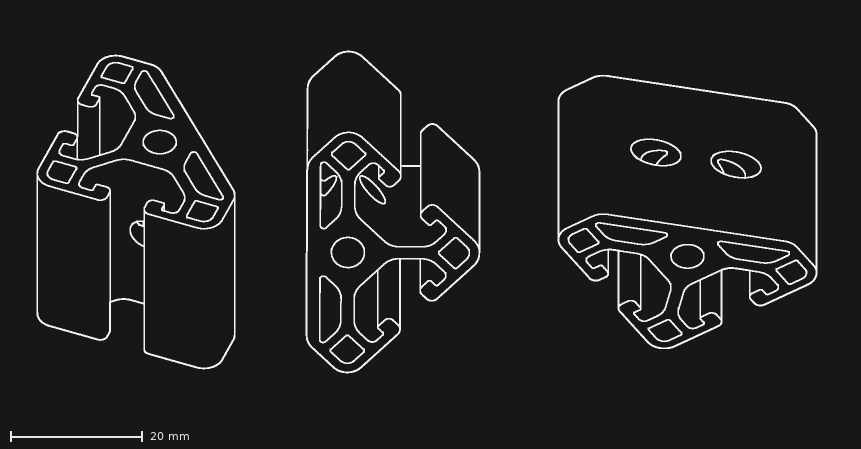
import cadquery as cq
import math

side = 30.0
outer_radius = 3.0

skin = 1.53
cross_web = 1.5
diagonal_web = 2.0

slot_opening = 6.12
slot_width = 16.3
slot_depth = 9.75
slot_corner_radius = 1.0
lip_depth = 3.05
lip_gap = 11.22
lip_outer_radius = 1.1
lip_inner_radius = 0.9

bend_radius = 3.0
small_radius = 0.3
corner_pocket_radius = 1.5
slope_pocket_tip_radius = 0.5

axial_bore = 5.0
cross_bore = 5.5

half = side / 2
half_opening = slot_opening / 2
half_slot = slot_width / 2
slot_floor = half - slot_depth
skin_inside = half - skin
corner_pocket_edge = half_slot + cross_web

web_offset = diagonal_web / 2 * math.sqrt(2)
slope_pocket_offset = 5.95
slope_offset = slope_pocket_offset + diagonal_web * math.sqrt(2)


def fillet_upright(solid, x, y, radius):
    """Round the upright edge nearest to (x, y)."""
    corner_edge = cq.selectors.NearestToPointSelector((x, y, half))
    return solid.edges("|Z").edges(corner_edge).fillet(radius)


def rounded_prism(corners):
    """Full-length solid from (x, y, fillet radius) corners; radius 0 stays sharp."""
    outline = [(x, y) for x, y, _ in corners]
    solid = cq.Workplane("XY").polyline(outline).close().extrude(side)
    for x, y, radius in corners:
        if radius > 0:
            solid = fillet_upright(solid, x, y, radius)
    return solid


def swap_xy(solid):
    """Reflect a solid in the plane x = y."""
    return solid.mirror("XZ").rotate((0, 0, 0), (0, 0, 1), 90)


def make_body():
    """Solid five-sided bar."""
    return rounded_prism([
        (-half, -half, outer_radius),
        (half, -half, outer_radius),
        (half, slope_offset - half, outer_radius),
        (slope_offset - half, half, outer_radius),
        (-half, half, outer_radius),
    ])


def make_slot():
    """T-slot cavity opening on the -Y face."""
    lip_top = lip_depth - half
    lip_back = lip_gap / 2
    right_side = [
        (half_opening, -half, 0),
        (half_opening, lip_top, lip_inner_radius),
        (lip_back, lip_top, small_radius),
        (lip_back, -skin_inside, small_radius),
        (half_slot, -skin_inside, slot_corner_radius),
        (half_slot, -half_slot - web_offset, bend_radius),
        (slot_floor - web_offset, -slot_floor, bend_radius),
    ]
    left_side = [(-x, y, radius) for x, y, radius in reversed(right_side)]
    return rounded_prism(right_side + left_side)


def make_corner_pocket():
    """Square hollow in the (-X, -Y) corner."""
    return rounded_prism([
        (-skin_inside, -skin_inside, corner_pocket_radius),
        (-corner_pocket_edge, -skin_inside, small_radius),
        (-corner_pocket_edge, -corner_pocket_edge, small_radius),
        (-skin_inside, -corner_pocket_edge, small_radius),
    ])


def make_slope_pocket():
    """Hollow between the sloping face and the (+X, -Y) diagonal web."""
    return rounded_prism([
        (slot_floor, slope_pocket_offset - slot_floor, slope_pocket_tip_radius),
        (slot_floor, web_offset - slot_floor, bend_radius),
        (half_slot + web_offset, -half_slot, bend_radius),
        (slope_pocket_offset + half_slot, -half_slot, slope_pocket_tip_radius),
    ])


def make_cross_bore():
    """Bore along Y at mid length, right through the bar."""
    return cq.Workplane("XZ").center(0, half).circle(cross_bore / 2).extrude(half, both=True)


def round_slot_mouths(solid):
    """Round the lip corners on the open faces of both slots."""
    for edge_place in (-half_opening, half_opening):
        solid = fillet_upright(solid, edge_place, -half, lip_outer_radius)
        solid = fillet_upright(solid, -half, edge_place, lip_outer_radius)
    return solid


result = make_body()

corner_pocket = make_corner_pocket()
for pocket in (corner_pocket, corner_pocket.mirror("YZ"), corner_pocket.mirror("XZ")):
    result = result.cut(pocket)

for cutter in (make_slot(), make_slope_pocket(), make_cross_bore()):
    result = result.cut(cutter).cut(swap_xy(cutter))

result = round_slot_mouths(result)
result = result.cut(cq.Workplane("XY").circle(axial_bore / 2).extrude(side))